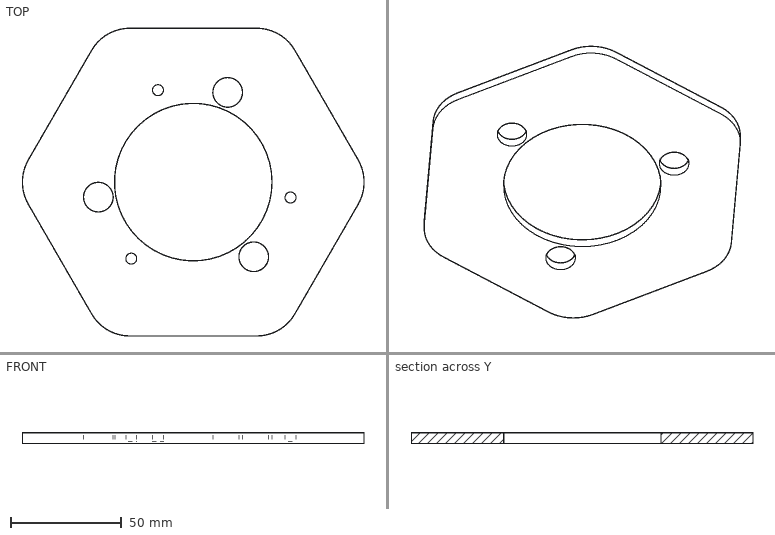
import cadquery as cq
import math

LENGTH = 154.2
THICKNESS = 5.0
CORNER_RADIUS = 20.0
HALF_CORNER_ANGLE = math.radians(30)

BORE_DIAMETER = 71.0
HOLE_COUNT = 3
THROUGH_DIAMETER = 13.3
THROUGH_CIRCLE_RADIUS = 43.3
THROUGH_START_ANGLE = 69.0
BLIND_DIAMETER = 5.0
BLIND_CIRCLE_RADIUS = 44.4
BLIND_START_ANGLE = 111.0
BLIND_DEPTH = 4.0

corner_loss = CORNER_RADIUS * (1 / math.cos(HALF_CORNER_ANGLE) - 1)
sharp_diameter = LENGTH + 2 * corner_loss


def hole_ring(circle_radius, start_angle, diameter, depth):
    """Equally spaced cylinders reaching down from the top face."""
    return (
        cq.Workplane("XY", origin=(0, 0, THICKNESS - depth))
        .polarArray(circle_radius, start_angle, 360, HOLE_COUNT)
        .circle(diameter / 2)
        .extrude(depth)
    )


plate = (
    cq.Workplane("XY")
    .polygon(6, sharp_diameter)
    .extrude(THICKNESS)
    .edges("|Z")
    .fillet(CORNER_RADIUS)
)
bore = cq.Workplane("XY").circle(BORE_DIAMETER / 2).extrude(THICKNESS)
through_holes = hole_ring(THROUGH_CIRCLE_RADIUS, THROUGH_START_ANGLE, THROUGH_DIAMETER, THICKNESS)
blind_holes = hole_ring(BLIND_CIRCLE_RADIUS, BLIND_START_ANGLE, BLIND_DIAMETER, BLIND_DEPTH)

result = plate.cut(bore).cut(through_holes).cut(blind_holes)